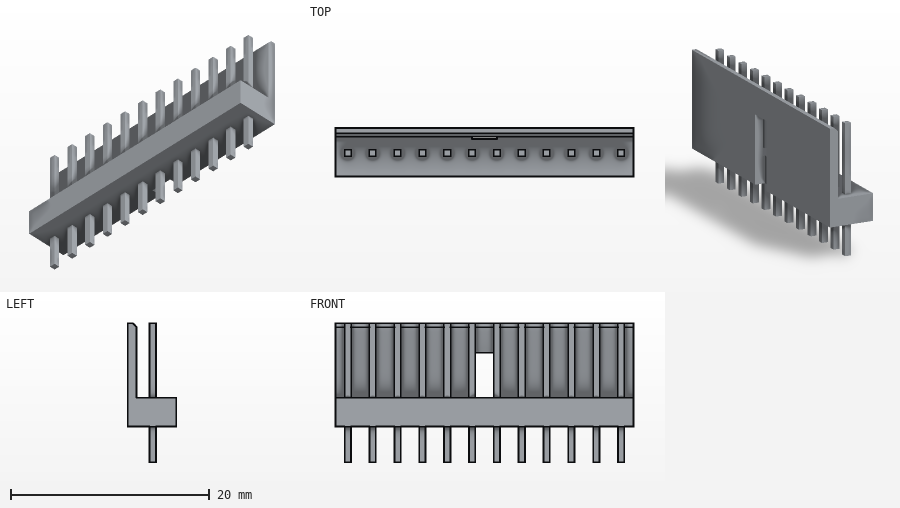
import cadquery as cq

length = 30.0
depth = 4.9
base_height = 2.9
wall_height = 10.4
wall_thickness = 0.9
wall_chamfer = 0.4

pin_count = 12
pin_pitch = length / pin_count
pin_width = 0.65
pin_setback = 2.52
pin_tail = 3.6

slot_width = pin_pitch
slot_depth = 1.1
slot_height = 7.4


def make_housing():
    """L-shaped profile along X, with the inner top edge of the wall chamfered."""
    profile = [
        (0, 0),
        (-depth, 0),
        (-depth, base_height),
        (-wall_thickness, base_height),
        (-wall_thickness, wall_height - wall_chamfer),
        (-wall_thickness + wall_chamfer, wall_height),
        (0, wall_height),
    ]
    return cq.Workplane("YZ").polyline(profile).close().extrude(length / 2, both=True)


def make_slot():
    """Passes through the wall and cuts slightly into the base beyond it."""
    return cq.Workplane("XY").box(
        slot_width, slot_depth, slot_height, centered=(True, False, False)
    ).translate((0, -slot_depth, 0))


def make_pins():
    """Straight pins through the base, with tops level with the wall."""
    return (
        cq.Workplane("XY", origin=(0, -pin_setback, -pin_tail))
        .rarray(pin_pitch, 0.3, pin_count, 1)
        .rect(pin_width, pin_width)
        .extrude(pin_tail + wall_height)
    )


result = make_housing().cut(make_slot()).union(make_pins())